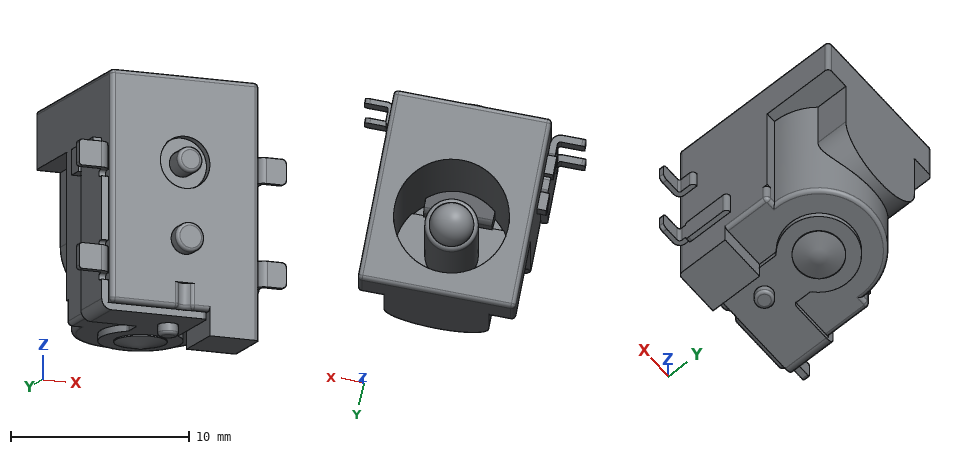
import cadquery as cq
import math


length = 14.9
width = 9.0
depth = 11.0
body_bottom = 1.45
edge_radius = 0.25
half_width = width / 2
jack_y = 6.5
barrel_radius = 3.87
barrel_top = 11.5
boss_radius = 3.0
boss_z = 7.2
corner_radius = 0.3
relief_height = 1.49
relief_top = body_bottom + relief_height
flute_lip_radius = 0.3
flute_radius = 0.52
flute_half_width = 0.58
leg_depth = 3.41
leg_left = 1.5

socket_radius = 3.25
socket_floor = 2.95
spring_pocket_y = 4.57
spring_pocket_depth = 0.5
spring_nose_y = 4.65
spring_root_y = 2.83
spring_root_z = 5.36
spring_nose_z = 4.32
spring_nose_radius = 0.54
spring_nose_half_width = 1.95
spring_root_half_width = 2.04
pin_radius = 1.5
pin_tip_radius = 1.25
pin_tip_z = 13.53

peg_length = 0.8
peg_edge_radius = 0.2
upper_peg_radius = 0.75
upper_peg_z = 9.88
peg_recess_radius = 1.5
peg_recess_depth = 0.5
lower_peg_radius = 0.85
lower_peg_z = 5.41

bracket_thickness = 0.4
bracket_bend_radius = 0.2
bracket_front = bracket_thickness
bracket_back = leg_depth
bracket_bottom = body_bottom - bracket_thickness
bracket_side = -half_width - bracket_thickness
neck_half_width = leg_left
neck_fillet = 0.21
bracket_corner_radius = 0.18
disc_radius = 2.4
foot_width = 1.49
bracket_foot_corner = 0.18
upper_foot_z = upper_peg_z
lower_foot_z = 3.9
bracket_foot_tip = -6.44
bracket_top = upper_foot_z + foot_width / 2
foot_back = 0.9
slot_height = 0.4
slot_depth = 0.42
notch_front = 1.33
notch_back = 2.47
notch_bottom = 9.68
rivet_radius = pin_radius
rivet_rim = 0.07
rivet_apex_z = 0.55
stud_radius = 0.58
stud_y = 2.5
stud_bottom = 0.4

block_height = 0.52
block_bottom = notch_bottom
block_top = 11.18
block_spans = ((1.37, 2.43), (3.5, 4.5))

contact_thickness = 0.3
upper_contact_bend = 0.13
lower_contact_bend = 0.2
contact_foot_corner = 0.3
contact_foot_tip = 6.17
upper_contact_back = 1.34
lower_contact_back = 3.8
lower_contact_front = 0.75
lower_contact_width = 1.97
lower_contact_corner = 0.24


def box(x_range, y_range, z_range):
    """Box between the given limits along each axis."""
    size = [high - low for low, high in (x_range, y_range, z_range)]
    corner = (x_range[0], y_range[0], z_range[0])
    return cq.Workplane("XY").box(*size, centered=False).translate(corner)


def upright_cylinder(radius, y, bottom, top):
    return cq.Workplane("XY", origin=(0, y, bottom)).circle(radius).extrude(top - bottom)


def cylinder_along_y(radius, z, front, back):
    return cq.Workplane("XZ", origin=(0, front, z)).circle(radius).extrude(front - back)


def make_flute():
    """Cutter for the rounded groove in the mounting face, with soft lips at both sides."""
    turn = math.asin(flute_half_width / (flute_lip_radius + flute_radius))
    groove_y = flute_lip_radius - (flute_lip_radius + flute_radius) * math.cos(turn)
    blend_x = flute_radius * math.sin(turn)
    blend_y = groove_y + flute_radius * math.cos(turn)
    lip_mid_x = flute_half_width - flute_lip_radius * math.sin(turn / 2)
    lip_mid_y = flute_lip_radius * (1 - math.cos(turn / 2))
    return (
        cq.Workplane("XY", origin=(0, 0, body_bottom))
        .moveTo(-flute_half_width, 0)
        .threePointArc((-lip_mid_x, lip_mid_y), (-blend_x, blend_y))
        .threePointArc((0, groove_y + flute_radius), (blend_x, blend_y))
        .threePointArc((lip_mid_x, lip_mid_y), (flute_half_width, 0))
        .close()
        .extrude(relief_height)
    )


def make_corner_relief(side):
    """Cutter that rounds the rear corner of the housing below the relief height."""
    x_range = sorted((side * half_width, side * (half_width - corner_radius)))
    corner = box(x_range, (jack_y - corner_radius, jack_y), (body_bottom, relief_top))
    rounding = upright_cylinder(corner_radius, jack_y - corner_radius, body_bottom, relief_top)
    return corner.cut(rounding.translate((side * (half_width - corner_radius), 0, 0)))


def make_housing():
    block = box((-half_width, half_width), (0, depth), (body_bottom, length))
    block = block.edges("|Z or >Z").fillet(edge_radius)

    rear = box((-half_width, half_width), (jack_y, depth), (body_bottom, barrel_top))
    barrel = upright_cylinder(barrel_radius, jack_y, body_bottom, barrel_top)
    boss = cylinder_along_y(boss_radius, boss_z, jack_y, depth)
    boss = boss.union(box((-boss_radius, boss_radius), (jack_y, depth), (boss_z, barrel_top)))
    housing = block.cut(rear.cut(barrel).cut(boss))

    for side in (-1, 1):
        housing = housing.cut(make_corner_relief(side))
    housing = housing.cut(make_flute())
    housing = housing.faces("<Z").edges().fillet(edge_radius)

    leg = box((leg_left, half_width), (0, leg_depth), (0, body_bottom + 2 * edge_radius))
    return housing.union(leg.edges("|Z and >X and <Y").fillet(edge_radius))


def make_socket():
    """Cutter for the plug bore and the deeper pocket in front of the spring."""
    pocket_floor = socket_floor - spring_pocket_depth
    bore = upright_cylinder(socket_radius, jack_y, socket_floor, length)
    pocket = upright_cylinder(socket_radius, jack_y, pocket_floor, length)
    front = box((-half_width, half_width), (0, spring_pocket_y), (pocket_floor, length))
    return bore.union(pocket.intersect(front))


def make_spring():
    """Spring leaf that slopes out of the front wall, then turns down to the pocket floor."""
    floor = socket_floor - spring_pocket_depth
    profile = (
        cq.Workplane("YZ", origin=(-half_width, 0, 0))
        .moveTo(spring_root_y, floor)
        .lineTo(spring_root_y, spring_root_z)
        .lineTo(spring_nose_y, spring_nose_z)
        .lineTo(spring_nose_y, floor)
        .close()
        .extrude(width)
        .edges(cq.selectors.NearestToPointSelector((0, spring_nose_y, spring_nose_z)))
        .fillet(spring_nose_radius)
    )
    plan = (
        cq.Workplane("XY", origin=(0, 0, floor))
        .polyline([
            (-spring_root_half_width, spring_root_y),
            (spring_root_half_width, spring_root_y),
            (spring_nose_half_width, spring_nose_y),
            (-spring_nose_half_width, spring_nose_y),
        ])
        .close()
        .extrude(length - floor)
    )
    return profile.intersect(plan)


def make_pin():
    """Centre pin with a rounded shoulder below its smaller ball tip."""
    tip_base = pin_tip_z - pin_tip_radius
    shoulder_radius = pin_radius - pin_tip_radius
    shoulder_z = tip_base - shoulder_radius
    shoulder_mid = shoulder_radius * math.sqrt(0.5)
    tip_mid = pin_tip_radius * math.sqrt(0.5)
    return (
        cq.Workplane("XZ")
        .moveTo(0, body_bottom)
        .lineTo(pin_radius, body_bottom)
        .lineTo(pin_radius, shoulder_z)
        .threePointArc(
            (pin_tip_radius + shoulder_mid, shoulder_z + shoulder_mid), (pin_tip_radius, tip_base)
        )
        .threePointArc((tip_mid, tip_base + tip_mid), (0, pin_tip_z))
        .close()
        .revolve(360, (0, 0), (0, 1))
        .translate((0, jack_y, 0))
    )


def make_peg(radius, z, root):
    return cylinder_along_y(radius, z, -peg_length, root).faces("<Y").edges().fillet(peg_edge_radius)


def make_foot(side, thickness, bend_radius, tip, tip_corner, back, z, rounded_back):
    """Terminal that runs down a housing side and bends outward into a soldering foot."""
    wall = side * half_width
    outer = wall + side * thickness
    bend_x = outer + side * bend_radius
    bend_y = thickness + bend_radius
    inner_mid = bend_radius * math.sqrt(0.5)
    outer_mid = bend_y * math.sqrt(0.5)
    outline = cq.Workplane("XY", origin=(0, 0, z - foot_width / 2)).moveTo(wall, back)
    if rounded_back:
        mid = thickness * math.sqrt(0.5)
        outline = outline.threePointArc(
            (wall + side * mid, back - thickness + mid), (outer, back - thickness)
        )
    else:
        outline = outline.lineTo(outer, back)
    foot = (
        outline.lineTo(outer, bend_y)
        .threePointArc((bend_x - side * inner_mid, bend_y - inner_mid), (bend_x, thickness))
        .lineTo(tip, thickness)
        .lineTo(tip, 0)
        .lineTo(bend_x, 0)
        .threePointArc((bend_x - side * outer_mid, bend_y - outer_mid), (wall, bend_y))
        .close()
        .extrude(foot_width)
    )
    tip_face = ">X" if side > 0 else "<X"
    return foot.faces(tip_face).edges("|Y").fillet(tip_corner)


def make_relief_slot(z):
    """Cutter for a round-ended slot in the front edge of the bracket's side plate."""
    end_radius = slot_height / 2
    straight_end = bracket_front + slot_depth - end_radius
    slot = box(
        (bracket_side, -half_width), (0, straight_end), (z - end_radius, z + end_radius)
    )
    end = cq.Workplane("YZ", origin=(bracket_side, straight_end, z)).circle(end_radius)
    return slot.union(end.extrude(bracket_thickness))


def make_bracket():
    strip_y = (bracket_front, bracket_back)
    sheet_z = (bracket_bottom, body_bottom)

    strip = box((bracket_side, neck_half_width), strip_y, sheet_z)
    neck = box((-neck_half_width, neck_half_width), (bracket_front, jack_y), sheet_z)
    base = strip.union(neck).edges("|Z and >X and <Y").fillet(bracket_corner_radius)
    base = base.union(upright_cylinder(disc_radius, jack_y, *sheet_z))
    inside_corners = cq.selectors.BoxSelector(
        (-disc_radius, bracket_back - neck_fillet, 0), (disc_radius, jack_y - neck_half_width, body_bottom)
    )
    base = base.edges("|Z").edges(inside_corners).fillet(neck_fillet)

    wall = box((bracket_side, -half_width), strip_y, (bracket_bottom, bracket_top))
    wall = wall.cut(box((bracket_side, -half_width), (notch_front, notch_back), (notch_bottom, length)))
    wall = wall.faces(">Z").edges("|X").fillet(bracket_corner_radius)
    bracket = wall.union(base)
    bracket = bracket.edges("|Y and <X and <Z").fillet(bracket_thickness + bracket_bend_radius)

    for z in (upper_foot_z, lower_foot_z):
        bracket = bracket.union(make_foot(
            -1, bracket_thickness, bracket_bend_radius, bracket_foot_tip, bracket_foot_corner,
            foot_back, z, False
        ))
    slot_offset = (foot_width + slot_height) / 2
    for z in (upper_foot_z - slot_offset, lower_foot_z + slot_offset, lower_foot_z - slot_offset):
        bracket = bracket.cut(make_relief_slot(z))
    return bracket


def make_rivet():
    """Flattened conical head of the centre pin below the bracket."""
    rim_z = bracket_bottom - rivet_rim
    return (
        cq.Workplane("XZ")
        .polyline([
            (0, body_bottom), (rivet_radius, body_bottom), (rivet_radius, rim_z), (0, rivet_apex_z)
        ])
        .close()
        .revolve(360, (0, 0), (0, 1))
        .translate((0, jack_y, 0))
    )


def make_stud():
    stud = upright_cylinder(stud_radius, stud_y, stud_bottom, body_bottom)
    return stud.faces("<Z").edges().fillet(peg_edge_radius)


def make_contacts():
    """Two terminals on the +X side; the lower one widens above its foot."""
    upper = make_foot(
        1, contact_thickness, upper_contact_bend, contact_foot_tip, contact_foot_corner,
        upper_contact_back, upper_foot_z, True
    )
    lower = make_foot(
        1, contact_thickness, lower_contact_bend, contact_foot_tip, contact_foot_corner,
        lower_contact_back, lower_foot_z, True
    )
    wide_bottom = lower_foot_z - lower_contact_width / 2
    wide = box(
        (half_width, half_width + contact_thickness),
        (lower_contact_front, lower_contact_back - contact_thickness),
        (wide_bottom, wide_bottom + lower_contact_width),
    )
    wide = wide.edges("|X and <Y").fillet(lower_contact_corner)
    back_end = (
        cq.Workplane("XY", origin=(half_width, lower_contact_back - contact_thickness, wide_bottom))
        .lineTo(contact_thickness, 0)
        .radiusArc((0, contact_thickness), -contact_thickness)
        .close()
        .extrude(lower_contact_width)
    )
    wide = wide.union(back_end)
    return upper.union(lower).union(wide)


result = make_housing().cut(make_socket())
result = result.cut(cylinder_along_y(peg_recess_radius, upper_peg_z, 0, peg_recess_depth))
result = result.union(make_spring()).union(make_pin())
result = result.union(make_peg(upper_peg_radius, upper_peg_z, peg_recess_depth))
result = result.union(make_peg(lower_peg_radius, lower_peg_z, 0))
result = result.union(make_bracket()).union(make_rivet()).union(make_stud())
for front, back in block_spans:
    block_x = (-half_width - block_height, -half_width)
    result = result.union(box(block_x, (front, back), (block_bottom, block_top)))
result = result.union(make_contacts())